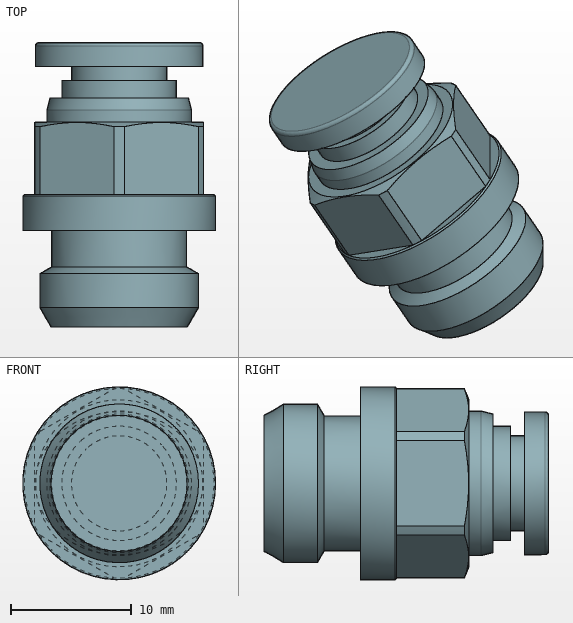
import cadquery as cq
import math


thread_diameter = 13.16
thread_chamfer_angle = 30
tip_chamfer_length = 1.62
thread_length = 5.0
neck_diameter = 11.2
neck_length = 3.0

flange_diameter = 16.0
flange_length = 3.0
flange_chamfer = 0.14

hex_across_flats = 14.0
hex_corner_diameter = 15.7
hex_end_diameter = 13.85
hex_end_chamfer_length = 0.38
hex_length = 6.0

collar_diameter = 12.0
collar_end_diameter = 11.5
collar_length = 2.0
collar_taper_length = 1.0
guide_diameter = 9.5
guide_length = 1.46

stem_diameter = 7.9
stem_length = 1.14
button_width = 13.9
button_height = 11.85
button_thickness = 2.0
button_fillet = 0.3

neck_start = thread_length
flange_start = neck_start + neck_length
hex_start = flange_start + flange_length
collar_start = hex_start + hex_length
guide_start = collar_start + collar_length
stem_start = guide_start + guide_length
button_start = stem_start + stem_length


def turned(profile):
    """Revolve (radius, Y) points, running from axis to axis, about the Y axis."""
    return cq.Workplane("XY").polyline(profile).close().revolve(360, (0, 0, 0), (0, 1, 0))


def plane_at(y):
    """Workplane across the axis at station y, facing +Y, with local x along +X."""
    return cq.Workplane(cq.Plane(origin=(0, y, 0), xDir=(1, 0, 0), normal=(0, 1, 0)))


def disc(diameter, start, length):
    return plane_at(start).circle(diameter / 2).extrude(length)


def make_thread_end():
    slope = math.tan(math.radians(thread_chamfer_angle))
    outer_radius = thread_diameter / 2
    root_radius = neck_diameter / 2
    tip_radius = outer_radius - tip_chamfer_length * slope
    back_chamfer_start = thread_length - (outer_radius - root_radius) * slope
    thread = turned([
        (0, 0),
        (tip_radius, 0),
        (outer_radius, tip_chamfer_length),
        (outer_radius, back_chamfer_start),
        (root_radius, thread_length),
        (0, thread_length),
    ])
    return thread.union(disc(neck_diameter, neck_start, neck_length))


def make_flange():
    flange = disc(flange_diameter, flange_start, flange_length)
    return flange.faces(">Y").chamfer(flange_chamfer)


def make_hexagon():
    """Hexagon with flats facing +/-X, its corners turned down and its +Y end coned."""
    circumscribed_diameter = hex_across_flats / math.cos(math.pi / 6)
    prism = (
        plane_at(hex_start)
        .polygon(6, circumscribed_diameter)
        .extrude(hex_length)
        .rotate((0, 0, 0), (0, 1, 0), 30)
    )
    corner_radius = hex_corner_diameter / 2
    turned_blank = turned([
        (0, hex_start),
        (corner_radius, hex_start),
        (corner_radius, collar_start - hex_end_chamfer_length),
        (hex_end_diameter / 2, collar_start),
        (0, collar_start),
    ])
    return prism.intersect(turned_blank)


def make_collar():
    taper_start = guide_start - collar_taper_length
    collar = turned([
        (0, collar_start),
        (collar_diameter / 2, collar_start),
        (collar_diameter / 2, taper_start),
        (collar_end_diameter / 2, guide_start),
        (0, guide_start),
    ])
    return collar.union(disc(guide_diameter, guide_start, guide_length))


def make_fitting_body():
    return make_thread_end().union(make_flange()).union(make_hexagon()).union(make_collar())


def make_release_button():
    """Oval push plate on a round stem that rests on the guide ring."""
    plate = (
        plane_at(button_start)
        .ellipse(button_width / 2, button_height / 2)
        .extrude(button_thickness)
        .faces(">Y")
        .edges()
        .fillet(button_fillet)
    )
    return plate.union(disc(stem_diameter, stem_start, stem_length))


fitting_body = make_fitting_body()
release_button = make_release_button()

result = cq.Compound.makeCompound([fitting_body.val(), release_button.val()])